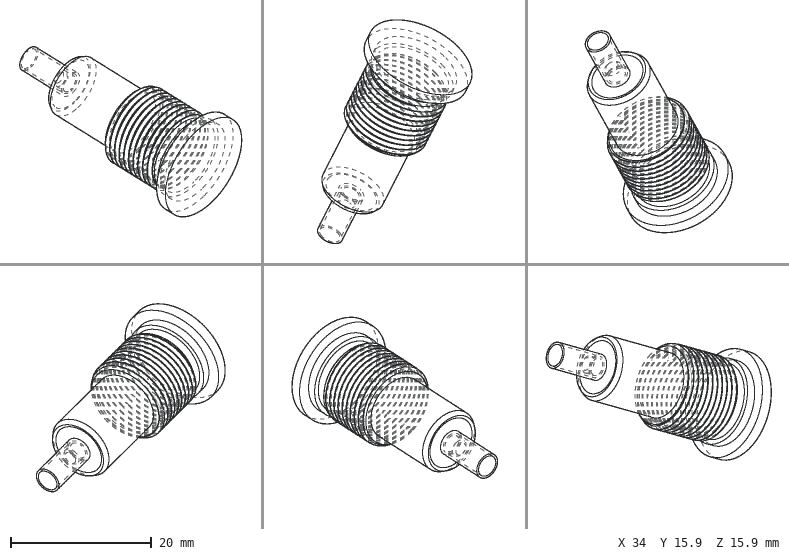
import cadquery as cq
import math

total_length = 33.96
body_face_x = 7.88
thread_start_x = 20.17
flange_thickness = 1.7
collar_length = 1.35
neck_length = 1.3
flange_x = total_length - flange_thickness
collar_x = flange_x - collar_length
neck_x = collar_x - neck_length

flange_radius = 15.88 / 2
thread_radius = 6.28
collar_radius = thread_radius
neck_radius = 5.6
body_radius = 4.77
tube_radius = 1.92
bore_radius = 1.58

nose_chamfer_length = 0.75
nose_chamfer_angle = math.radians(30)
nose_radius = body_radius - nose_chamfer_length * math.tan(nose_chamfer_angle)
recess_floor_radius = 3.87
recess_depth = 0.2

bore_depth = body_face_x
pin_radius = 1.27
pin_tip_radius = 0.92
pin_length = 2.0

pitch = 25.4 / 28
flat_width = pitch / 8
half_flank_angle = math.radians(30)
thread_depth = (pitch - 2 * flat_width) / 2 / math.tan(half_flank_angle)
thread_lead_in_radius = 5.7
groove_lead = 0.6
groove_turns = 12
groove_clearance = 0.04


def revolve_about_x(points):
    """Revolve a closed (x, radius) outline around the X axis."""
    return cq.Workplane("XY").polyline(points).close().revolve(360, (0, 0, 0), (1, 0, 0))


def make_plain_body():
    """Everything but the thread: tube, recessed body, neck, collar and flange."""
    recess_floor_x = body_face_x + recess_depth
    return revolve_about_x([
        (0, 0),
        (0, tube_radius),
        (recess_floor_x, tube_radius),
        (recess_floor_x, recess_floor_radius),
        (body_face_x, nose_radius),
        (body_face_x + nose_chamfer_length, body_radius),
        (neck_x, body_radius),
        (neck_x, neck_radius),
        (collar_x, neck_radius),
        (collar_x, collar_radius),
        (flange_x, collar_radius),
        (flange_x, flange_radius),
        (total_length, flange_radius),
        (total_length, 0),
    ])


def make_tube_cavity():
    """Space inside the tube, leaving the chamfered pin on its floor."""
    pin_tip_x = bore_depth - pin_length
    pin_chamfer = pin_radius - pin_tip_radius
    return revolve_about_x([
        (0, 0),
        (0, bore_radius),
        (bore_depth, bore_radius),
        (bore_depth, pin_radius),
        (pin_tip_x + pin_chamfer, pin_radius),
        (pin_tip_x, pin_tip_radius),
        (pin_tip_x, 0),
    ])


def make_thread_groove():
    """Helical V groove, modelled around Z and then turned onto the X axis."""
    root_radius = thread_radius - thread_depth
    mouth_radius = thread_radius + groove_clearance
    root_half = flat_width / 2
    mouth_half = root_half + (mouth_radius - root_radius) * math.tan(half_flank_angle)
    helix = cq.Wire.makeHelix(pitch, groove_turns * pitch, root_radius)
    profile_plane = cq.Plane(origin=(0, 0, 0), xDir=(1, 0, 0), normal=(0, 1, 0))
    groove = (
        cq.Workplane(profile_plane)
        .polyline([
            (root_radius, -root_half),
            (mouth_radius, -mouth_half),
            (mouth_radius, mouth_half),
            (root_radius, root_half),
        ])
        .close()
        .sweep(cq.Workplane(obj=helix), isFrenet=True)
    )
    groove = groove.rotate((0, 0, 0), (0, 1, 0), 90)
    return groove.translate((thread_start_x - groove_lead, 0, 0))


def make_threaded_sleeve():
    """Grooved cylinder trimmed by the 45 degree cones at both thread ends."""
    lead_in = thread_radius - thread_lead_in_radius
    run_out = thread_radius - neck_radius
    blank = revolve_about_x([
        (thread_start_x, 0),
        (thread_start_x, thread_radius),
        (collar_x, thread_radius),
        (collar_x, 0),
    ])
    envelope = revolve_about_x([
        (thread_start_x, 0),
        (thread_start_x, thread_lead_in_radius),
        (thread_start_x + lead_in, thread_radius),
        (neck_x - run_out, thread_radius),
        (neck_x, neck_radius),
        (neck_x, 0),
    ])
    return blank.cut(make_thread_groove()).intersect(envelope)


result = make_plain_body().union(make_threaded_sleeve()).cut(make_tube_cavity())